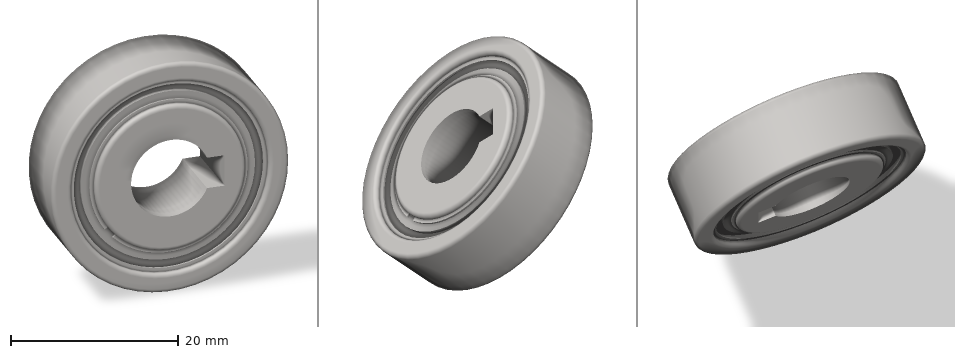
import cadquery as cq
import math

outer_diameter = 30.0
width = 9.0
outer_radius = outer_diameter / 2
half_width = width / 2
edge_radius = 0.5

bore_radius = 5.0
key_width = 4.0
key_reach = 6.8

inner_ring_radius = 9.5
snap_ring_radius = 10.0
washer_radius = 11.0
lip_radius = 12.0
outer_ring_radius = 12.5

snap_ring_depth = 0.75
snap_ring_thickness = 0.25
washer_depth = snap_ring_depth + snap_ring_thickness
floor_depth = 1.5

gap_start = 216.0
gap_end = 225.0


def disc(radius, length):
    """Cylinder on the X axis, centred on the origin."""
    return cq.Workplane("YZ", origin=(-length / 2, 0, 0)).circle(radius).extrude(length)


def ring(outer, inner, length):
    """Tube on the X axis, centred on the origin."""
    return disc(outer, length).cut(disc(inner, length))


def make_body():
    """Rounded inner and outer rings joined by the stepped discs between them."""
    inner_ring = disc(inner_ring_radius, width).edges().fillet(edge_radius)
    outer_ring = ring(outer_radius, outer_ring_radius, width).edges().fillet(edge_radius)
    washers = disc(washer_radius, width - 2 * washer_depth)
    web = disc(outer_ring_radius, width - 2 * floor_depth)
    return inner_ring.union(washers).union(web).union(outer_ring)


def make_snap_ring():
    """Split snap ring, with radial ends, that sits around the inner ring."""

    def polar(angle):
        reach = 2 * snap_ring_radius
        return reach * math.cos(math.radians(angle)), reach * math.sin(math.radians(angle))

    gap = (
        cq.Workplane("YZ")
        .polyline([(0, 0), polar(gap_start), polar(gap_end)])
        .close()
        .extrude(half_width, both=True)
    )
    return ring(snap_ring_radius, inner_ring_radius, snap_ring_thickness).cut(gap)


def make_bore():
    """Through bore with its keyway."""
    keyway = cq.Workplane("XY").box(width, key_reach, key_width).translate((0, key_reach / 2, 0))
    return disc(bore_radius, width).union(keyway)


snap_ring = make_snap_ring()
lip = ring(outer_ring_radius, lip_radius, snap_ring_thickness)
ring_offset = half_width - snap_ring_depth - snap_ring_thickness / 2

result = make_body()
for side in (-1, 1):
    for thin_ring in (snap_ring, lip):
        result = result.union(thin_ring.translate((side * ring_offset, 0, 0)))
result = result.cut(make_bore())